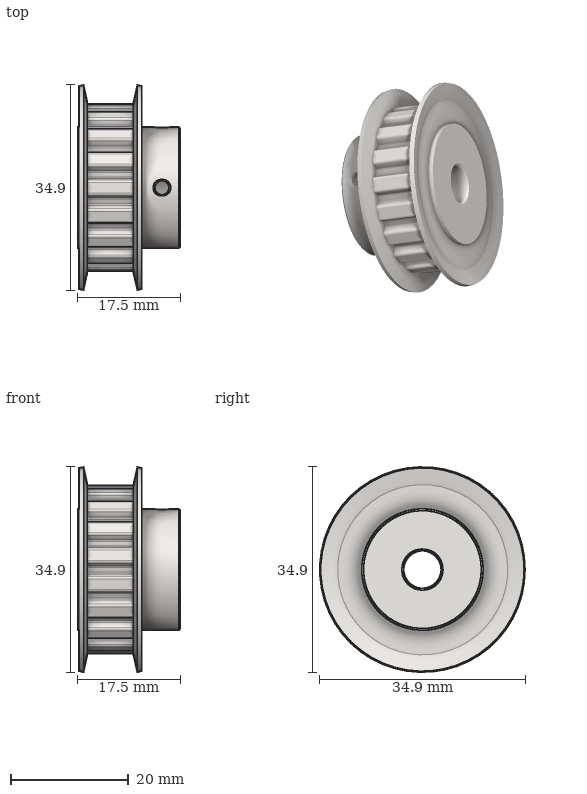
import cadquery as cq
import math


total_length = 17.48
hub_radius = 10.33
hub_end_chamfer = 0.325

bore_radius = 3.175
bore_chamfer = 0.325

tooth_count = 18
tooth_top = 14.3
rim_start = 1.65
rim_width = 7.85
rim_end = rim_start + rim_width

groove_depth = 1.4
groove_bottom_width = 1.2
groove_flank_angle = 25.0
groove_root_fillet = 0.33
groove_tip_fillet = 0.45

flange_thickness = 0.8
flange_radius = 17.46
flange_bend_radius = 14.55
flange_flare = 0.65

screw_x = 14.34
screw_radius = 1.2
screw_chamfer = 0.3


def make_hub():
    return (
        cq.Workplane("YZ")
        .circle(hub_radius)
        .extrude(total_length)
        .faces(">X")
        .edges()
        .chamfer(hub_end_chamfer)
    )


def make_groove_cutter():
    """Prism along X that cuts the groove facing +Y."""
    root_y = tooth_top - groove_depth
    outer_y = tooth_top + groove_depth
    half_bottom = groove_bottom_width / 2
    half_top = half_bottom + (outer_y - root_y) * math.tan(math.radians(groove_flank_angle))
    return (
        cq.Workplane("YZ")
        .workplane(offset=rim_start)
        .polyline([
            (root_y, -half_bottom),
            (outer_y, -half_top),
            (outer_y, half_top),
            (root_y, half_bottom),
        ])
        .close()
        .extrude(rim_width)
        .edges("|X and <Y")
        .fillet(groove_root_fillet)
    )


def make_toothed_rim():
    """Regular prism with one flat per tooth and a groove cut through each of its corners."""
    corner_radius = tooth_top / math.cos(math.pi / tooth_count)
    rim = (
        cq.Workplane("YZ")
        .workplane(offset=rim_start)
        .polygon(tooth_count, 2 * corner_radius)
        .extrude(rim_width)
    )
    cutter = make_groove_cutter()
    for index in range(tooth_count):
        angle = index * 360 / tooth_count
        rim = rim.cut(cutter.rotate((0, 0, 0), (1, 0, 0), angle))
    tip_band = tooth_top - groove_depth / 4
    tip_edges = [
        edge for edge in rim.edges("|X").vals()
        if math.hypot(edge.Center().y, edge.Center().z) > tip_band
    ]
    return rim.newObject(tip_edges).fillet(groove_tip_fillet)


def make_flange(inner_x, outward):
    """Dished disc with its belt-side face at inner_x, flaring along outward (+1 or -1)."""
    flare_angle = math.atan2(flange_flare, flange_radius - flange_bend_radius)
    outer_bend_radius = flange_bend_radius - flange_thickness * math.tan(flare_angle / 2)
    edge_x = flange_flare + flange_thickness * math.cos(flare_angle)
    edge_radius = flange_radius - flange_thickness * math.sin(flare_angle)
    profile = [
        (0, 0),
        (0, flange_bend_radius),
        (flange_flare, flange_radius),
        (edge_x, edge_radius),
        (flange_thickness, outer_bend_radius),
        (flange_thickness, 0),
    ]
    return (
        cq.Workplane("XY")
        .polyline([(inner_x + outward * x, radius) for x, radius in profile])
        .close()
        .revolve(360, (0, 0, 0), (1, 0, 0))
    )


def make_bore():
    mouth_radius = bore_radius + bore_chamfer
    return (
        cq.Workplane("XY")
        .polyline([
            (0, 0),
            (0, mouth_radius),
            (bore_chamfer, bore_radius),
            (total_length - bore_chamfer, bore_radius),
            (total_length, mouth_radius),
            (total_length, 0),
        ])
        .close()
        .revolve(360, (0, 0, 0), (1, 0, 0))
    )


def make_screw_hole():
    """Countersunk radial hole from the bore out through the hub along +Z."""
    mouth_radius = screw_radius + screw_chamfer
    return (
        cq.Workplane("XZ")
        .polyline([
            (screw_x, 0),
            (screw_x + screw_radius, 0),
            (screw_x + screw_radius, hub_radius - screw_chamfer),
            (screw_x + mouth_radius, hub_radius),
            (screw_x, hub_radius),
        ])
        .close()
        .revolve(360, (screw_x, 0, 0), (screw_x, 1, 0))
    )


pulley = make_hub().union(make_toothed_rim())
pulley = pulley.union(make_flange(rim_start, -1)).union(make_flange(rim_end, 1))
pulley = pulley.cut(make_bore())

for screw_angle in (0, -90):
    pulley = pulley.cut(make_screw_hole().rotate((0, 0, 0), (1, 0, 0), screw_angle))

result = pulley